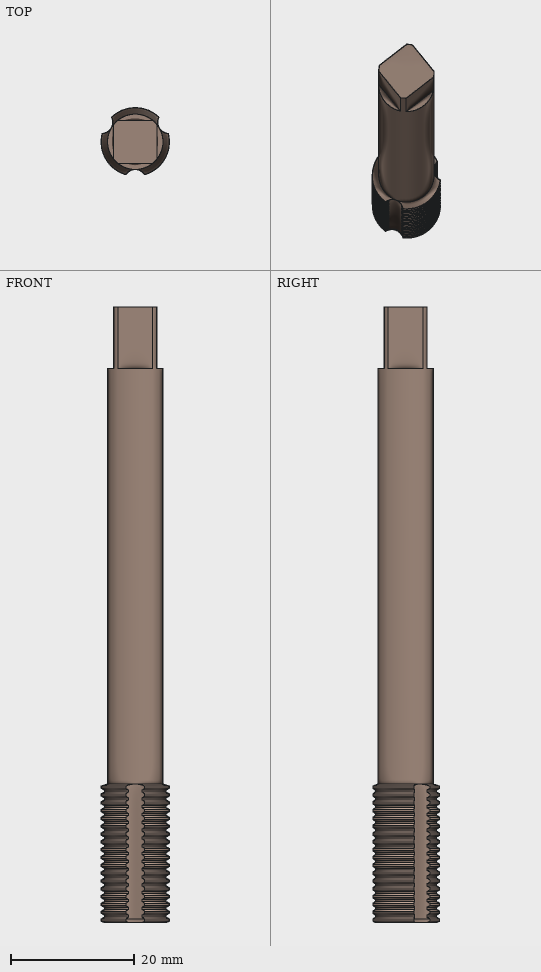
import cadquery as cq


total_length = 100.0
shank_radius = 4.5
square_width = 7.0
square_height = 10.0

inch = 25.4
threads_per_inch = 20
pitch = inch / threads_per_inch
ridge_count = 18
crest_radius = 11.1 / 2
thread_depth = 0.52
root_radius = crest_radius - thread_depth
crest_width = pitch / 4
root_width = pitch / 4
flank_width = (pitch - crest_width - root_width) / 2

lead_in_height = 0.25
nose_height = lead_in_height + crest_width

head_top_z = 22.5
square_base_z = total_length - square_height

flute_count = 3
first_flute_angle = -90
flute_radius = 1.8
flute_axis_radius = shank_radius + flute_radius


def revolve_profile(points):
    """Turn an outline of (radius, z) points about the Z axis."""
    return cq.Workplane("XZ").polyline(points).close().revolve(360, (0, 0, 0), (0, 1, 0))


def make_flutes():
    """Round bars that cut the flutes out of the nose and the head."""
    return (
        cq.Workplane("XY")
        .polarArray(flute_axis_radius, first_flute_angle, 360, flute_count)
        .circle(flute_radius)
        .extrude(head_top_z)
    )


def make_nose():
    """Lowest ridge of the thread up to the end of its crest, with a conical lead-in."""
    outline = [
        (0, 0),
        (root_radius, 0),
        (crest_radius, lead_in_height),
        (crest_radius, nose_height),
        (0, nose_height),
    ]
    return revolve_profile(outline).cut(make_flutes())


def make_head():
    """Threaded length above the nose, up to the shank."""
    outline = [(0, nose_height), (crest_radius, nose_height)]
    for groove in range(ridge_count - 1):
        groove_z = nose_height + groove * pitch
        root_z = groove_z + flank_width
        outline += [
            (root_radius, root_z),
            (root_radius, root_z + root_width),
            (crest_radius, root_z + root_width + flank_width),
            (crest_radius, groove_z + pitch),
        ]
    outline += [(shank_radius, head_top_z), (0, head_top_z)]
    return revolve_profile(outline).cut(make_flutes())


def make_shank():
    return (
        cq.Workplane("XY", origin=(0, 0, head_top_z))
        .circle(shank_radius)
        .extrude(square_base_z - head_top_z)
    )


def make_drive_square():
    """Square drive whose corners keep the round of the shank."""
    base = cq.Workplane("XY", origin=(0, 0, square_base_z))
    square = base.rect(square_width, square_width).extrude(square_height)
    return square.intersect(base.circle(shank_radius).extrude(square_height))


def make_tap():
    return make_head().union(make_shank()).union(make_drive_square())


nose = make_nose()
tap = make_tap()

result = cq.Compound.makeCompound([nose.val(), *tap.vals()])